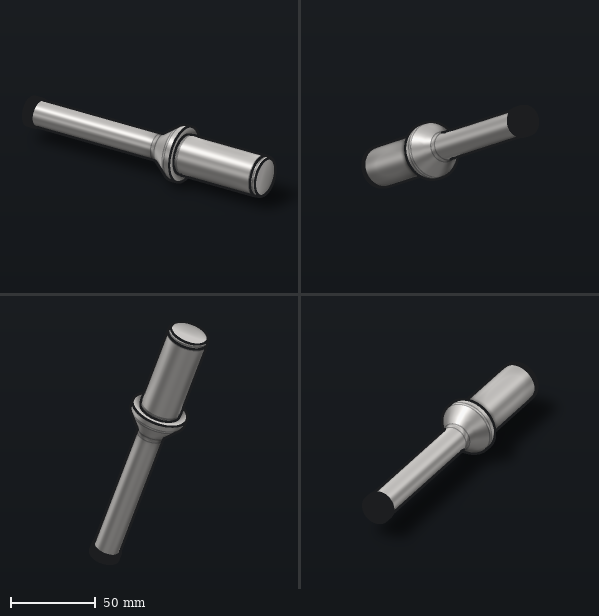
import cadquery as cq

total_length = 163.0
head_length = 5.9
cone_start = 88.3
cone_end = 103.0
flange_end = 107.0
relief_end = 109.2
end_land_start = 160.0

head_diameter = 17.6
stem_diameter = 16.5
flange_diameter = 34.0
shank_diameter = 25.0
land_diameter = 24.5

fillet_length = 3.0
fillet_rise = 0.8
flange_blend_length = 1.5
flange_blend_rise = 0.5
relief_ramp = 1.0
land_ramp = 1.0
land_ramp_drop = 0.08
tip_length = 1.5
tip_drop = 0.8

head_chamfer = 0.5
rim_groove_starts = (2.0, 3.5, 4.7)
rim_groove_width = 0.7
rim_groove_depth = 0.2
face_groove_count = 5
face_groove_pitch = 1.5
face_groove_width = 0.7
face_groove_depth = 0.5


def tube(start, length, outer_diameter, inner_diameter):
    """Ring around the X axis."""
    return (
        cq.Workplane("YZ", origin=(start, 0, 0))
        .circle(outer_diameter / 2)
        .circle(inner_diameter / 2)
        .extrude(length)
    )


def make_head():
    """Disc with ring grooves in its rim and its front face."""
    head = cq.Workplane("YZ").circle(head_diameter / 2).extrude(head_length)
    head = head.faces("<X").chamfer(head_chamfer)
    for start in rim_groove_starts:
        floor_diameter = head_diameter - 2 * rim_groove_depth
        head = head.cut(tube(start, rim_groove_width, head_diameter, floor_diameter))
    for index in range(face_groove_count):
        inner_diameter = 2 * face_groove_pitch * (index + 0.5)
        outer_diameter = inner_diameter + 2 * face_groove_width
        head = head.cut(tube(0, face_groove_depth, outer_diameter, inner_diameter))
    return head


def make_shank():
    """Stem, cone, flange and shank turned from one profile."""
    stem_radius = stem_diameter / 2
    flange_radius = flange_diameter / 2
    shank_radius = shank_diameter / 2
    land_radius = land_diameter / 2
    cone_foot = (cone_start + fillet_length, stem_radius + fillet_rise)
    cone_top = (cone_end - flange_blend_length, flange_radius - flange_blend_rise)
    return (
        cq.Workplane("XY")
        .moveTo(head_length, 0)
        .lineTo(head_length, stem_radius)
        .lineTo(cone_start, stem_radius)
        .tangentArcPoint(cone_foot, relative=False)
        .lineTo(*cone_top)
        .threePointArc(
            (cone_end - flange_blend_length / 2, flange_radius - flange_blend_rise / 4),
            (cone_end, flange_radius),
        )
        .lineTo(flange_end, flange_radius)
        .lineTo(flange_end, land_radius)
        .lineTo(relief_end - relief_ramp, land_radius)
        .lineTo(relief_end, shank_radius)
        .lineTo(end_land_start - land_ramp, shank_radius)
        .lineTo(end_land_start, shank_radius - land_ramp_drop)
        .lineTo(end_land_start, land_radius)
        .lineTo(total_length - tip_length, land_radius)
        .tangentArcPoint((total_length, land_radius - tip_drop), relative=False)
        .lineTo(total_length, 0)
        .close()
        .revolve(360, (0, 0, 0), (1, 0, 0))
    )


head = make_head()
shank = make_shank()

result = cq.Compound.makeCompound([head.val(), shank.val()])